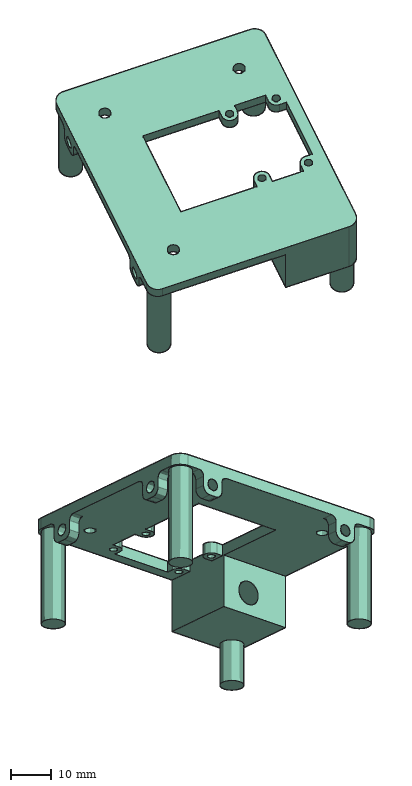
import cadquery as cq
import math

length = 65.0
width = 56.0
plate_thickness = 3.0
corner_radius = 3.0

leg_diameter = 6.0
leg_height = 25.0
leg_inset = 3.5

mount_diameter = 3.0
mount_inset = 10.0

window_left = 20.0
window_right = length - window_left
window_bottom = 16.1
window_top = 53.0
boss_radius = 2.1
boss_hole_diameter = 2.0
boss_x = 21.9
boss_upper_y = 51.1
boss_lower_y = 38.6

lug_inset = 11.0
lug_width = 6.0
lug_drop = 6.0
lug_thickness = 3.0
lug_tip_radius = 2.0
lug_root_radius = 1.5
lug_hole_diameter = 3.0
lug_hole_drop = 3.0

block_side = 20.0
block_height = 14.0
socket_diameter = 6.25
socket_x = 53.0
socket_drop = 8.0


def make_plate():
    plate = cq.Workplane("XY").box(length, width, plate_thickness, centered=False)
    plate = plate.edges("|Z").fillet(corner_radius)
    mount_points = [
        (mount_inset, mount_inset),
        (length - mount_inset, mount_inset),
        (mount_inset, width - mount_inset),
    ]
    holes = (
        cq.Workplane("XY").pushPoints(mount_points)
        .circle(mount_diameter / 2).extrude(plate_thickness)
    )
    return plate.cut(holes)


def slab(x_min, x_max, y_min, y_max):
    """Rectangular block as thick as the plate."""
    return (
        cq.Workplane("XY", origin=(x_min, y_min, 0))
        .box(x_max - x_min, y_max - y_min, plate_thickness, centered=False)
    )


def cut_window(plate):
    """Cut the window, leaving a round-ended boss on each side at two heights."""
    window = slab(window_left, window_right, window_bottom, window_top)
    boss_points = []
    for x, wall_x in ((boss_x, window_left), (length - boss_x, window_right)):
        for y in (boss_lower_y, boss_upper_y):
            boss_points.append((x, y))
            root = slab(min(x, wall_x), max(x, wall_x), y - boss_radius, y + boss_radius)
            window = window.cut(root)
        window = window.cut(slab(x - boss_radius, x + boss_radius, boss_upper_y, window_top))
    bosses = cq.Workplane("XY").pushPoints(boss_points)
    window = window.cut(bosses.circle(boss_radius).extrude(plate_thickness))
    screw_holes = bosses.circle(boss_hole_diameter / 2).extrude(plate_thickness)
    return plate.cut(window).cut(screw_holes)


def make_legs():
    leg_points = [
        (x, y)
        for x in (leg_inset, length - leg_inset)
        for y in (leg_inset, width - leg_inset)
    ]
    return (
        cq.Workplane("XY").pushPoints(leg_points)
        .circle(leg_diameter / 2).extrude(-leg_height)
    )


def make_lug(edge_point, across, inward):
    """Lug with flared root, starting at an edge point and thickening inward."""
    plane = cq.Plane(origin=(*edge_point, 0), xDir=across, normal=inward)
    half = lug_width / 2
    root = half + lug_root_radius
    diagonal = math.sqrt(0.5)
    root_bend = lug_root_radius * (1 - diagonal)
    tip_bend = lug_tip_radius * (1 - diagonal)
    outline = (
        cq.Workplane(plane)
        .moveTo(-root, 0)
        .threePointArc((-half - root_bend, root_bend), (-half, lug_root_radius))
        .lineTo(-half, lug_drop - lug_tip_radius)
        .threePointArc(
            (-half + tip_bend, lug_drop - tip_bend),
            (-half + lug_tip_radius, lug_drop),
        )
        .lineTo(half - lug_tip_radius, lug_drop)
        .threePointArc(
            (half - tip_bend, lug_drop - tip_bend),
            (half, lug_drop - lug_tip_radius),
        )
        .lineTo(half, lug_root_radius)
        .threePointArc((half + root_bend, root_bend), (root, 0))
        .close()
    )
    hole = (
        cq.Workplane(plane).center(0, lug_hole_drop)
        .circle(lug_hole_diameter / 2).extrude(lug_thickness)
    )
    return outline.extrude(lug_thickness).cut(hole)


def make_lugs():
    """Two lugs on the front edge and two on the left edge."""
    along_x = (1, 0, 0)
    back_along_y = (0, -1, 0)
    return [
        make_lug((lug_inset, 0), along_x, (0, 1, 0)),
        make_lug((length - lug_inset, 0), along_x, (0, 1, 0)),
        make_lug((0, lug_inset), back_along_y, (1, 0, 0)),
        make_lug((0, width - lug_inset), back_along_y, (1, 0, 0)),
    ]


def make_socket_block():
    block = (
        cq.Workplane("XY", origin=(length - block_side, width - block_side, -block_height))
        .box(block_side, block_side, block_height, centered=False)
    )
    socket = (
        cq.Workplane("XZ", origin=(socket_x, width, -socket_drop))
        .circle(socket_diameter / 2).extrude(block_side)
    )
    return block.edges("|Z and >X and >Y").fillet(corner_radius).cut(socket)


result = cut_window(make_plate())
result = result.union(make_socket_block()).union(make_legs())
for lug in make_lugs():
    result = result.union(lug)